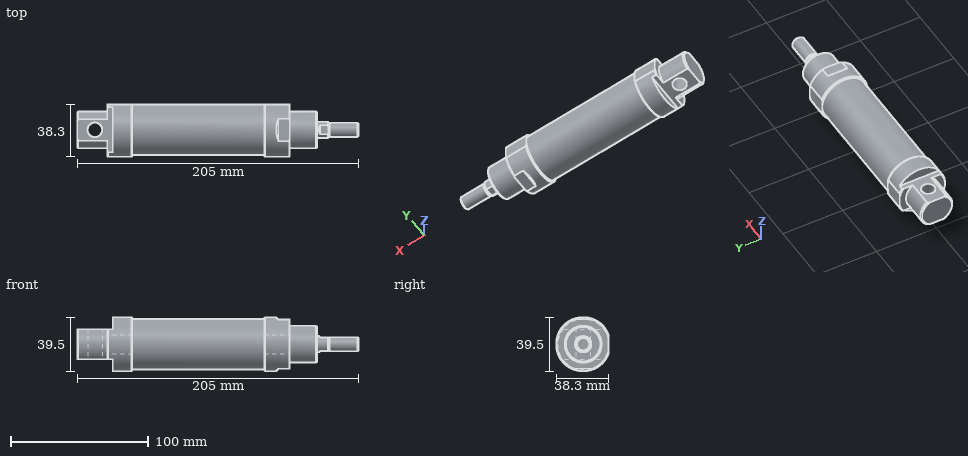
import cadquery as cq
import math

TUBE_DIA = 37.0
OVERALL_LENGTH = 205.0

CAP_DIA = 39.5
CAP_FLAT_Y = TUBE_DIA / 2
CAP_CHAMFER = 0.6

TANG_DIA = 27.0
TANG_THICKNESS = 22.0
TANG_LENGTH = 22.0
TANG_CHAMFER = 1.0
TANG_FLAT_END = 26.0
PIN_HOLE_DIA = 10.5
PIN_HOLE_X = 13.0
REAR_CAP_END = 40.2

FRONT_CAP_START = 136.5
FRONT_CAP_END = 155.0
WRENCH_FLAT_SPAN = 36.0
WRENCH_FLAT_LENGTH = 8.3
NOSE_DIA = 27.0
NOSE_LENGTH = 20.0
NOSE_CHAMFER = 1.0

ROD_DIA = 12.0
ROD_FLAT_SPAN = 10.0
ROD_FLAT_LENGTH = 5.9
ROD_SHOULDER_X = 183.0
SHOULDER_CHAMFER = 0.4
UNDERCUT_DIA = 9.0
UNDERCUT_LENGTH = 1.2
THREAD_DIA = 10.5
THREAD_CHAMFER = 0.8

FLAT_RUNOUT_ANGLE = 45.0

NOSE_END = FRONT_CAP_END + NOSE_LENGTH
THREAD_START = ROD_SHOULDER_X + UNDERCUT_LENGTH


def bar(diameter, start, end):
    """Round bar along X between two stations."""
    return cq.Workplane("YZ", origin=(start, 0, 0)).circle(diameter / 2).extrude(end - start)


def collar(start, end):
    """Chamfered cap collar with its flat +Y side."""
    ring = bar(CAP_DIA, start, end).faces("<X or >X").chamfer(CAP_CHAMFER)
    beyond_flat = cq.Workplane("XY").box(
        end - start, CAP_DIA, CAP_DIA, centered=(False, False, True)
    )
    return ring.cut(beyond_flat.translate((start, CAP_FLAT_Y, 0)))


def cut_opposite_flats(body, span, start, end, runout_angle=90.0):
    """Cut flats facing +Z and -Z; their start slopes outwards at the runout angle."""
    half_span = span / 2
    runout_height = CAP_DIA / 2
    runout_length = runout_height / math.tan(math.radians(runout_angle))
    removed = (
        cq.Workplane("XZ")
        .moveTo(start, half_span)
        .lineTo(end, half_span)
        .lineTo(end, half_span + runout_height)
        .lineTo(start - runout_length, half_span + runout_height)
        .close()
        .extrude(CAP_DIA / 2, both=True)
    )
    return body.cut(removed).cut(removed.mirror("XY"))


def make_rear_cap():
    tang = bar(TANG_DIA, 0, TANG_LENGTH).faces("<X").chamfer(TANG_CHAMFER)
    cap = collar(TANG_LENGTH, REAR_CAP_END).union(tang)
    cap = cut_opposite_flats(cap, TANG_THICKNESS, 0, TANG_FLAT_END)
    pin_hole = (
        cq.Workplane("XY")
        .center(PIN_HOLE_X, 0)
        .circle(PIN_HOLE_DIA / 2)
        .extrude(TANG_THICKNESS, both=True)
    )
    return cap.cut(pin_hole)


def make_tube():
    return bar(TUBE_DIA, REAR_CAP_END, FRONT_CAP_START)


def make_front_cap():
    flat_start = FRONT_CAP_END - WRENCH_FLAT_LENGTH
    body = collar(FRONT_CAP_START, FRONT_CAP_END)
    body = cut_opposite_flats(body, WRENCH_FLAT_SPAN, flat_start, FRONT_CAP_END, FLAT_RUNOUT_ANGLE)
    nose = bar(NOSE_DIA, FRONT_CAP_END, NOSE_END).faces(">X").chamfer(NOSE_CHAMFER)
    return body.union(nose)


def make_rod():
    flat_start = ROD_SHOULDER_X - ROD_FLAT_LENGTH
    shank = bar(ROD_DIA, NOSE_END, ROD_SHOULDER_X).faces(">X").chamfer(SHOULDER_CHAMFER)
    shank = cut_opposite_flats(shank, ROD_FLAT_SPAN, flat_start, ROD_SHOULDER_X, FLAT_RUNOUT_ANGLE)
    undercut = bar(UNDERCUT_DIA, ROD_SHOULDER_X, THREAD_START)
    thread = bar(THREAD_DIA, THREAD_START, OVERALL_LENGTH).faces(">X").chamfer(THREAD_CHAMFER)
    return shank.union(undercut).union(thread)


rear_cap = make_rear_cap()
tube = make_tube()
front_cap = make_front_cap()
rod = make_rod()

result = cq.Compound.makeCompound([rear_cap.val(), tube.val(), front_cap.val(), rod.val()])